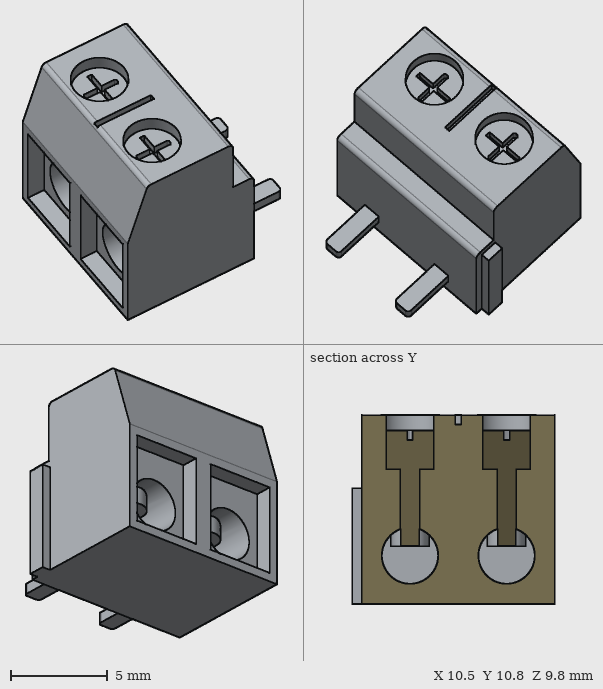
import cadquery as cq

width = 10.0
depth = 7.8
height = 9.8
front_face_height = 6.0
slope_run = 1.23
step_depth = 1.3
step_height = 6.43
edge_radius = 0.3

rib_thickness = 0.5
rib_length = 1.0
rib_setback = 0.41

pole_pitch = 5.0
pole_positions = [width / 2 - pole_pitch / 2, width / 2 + pole_pitch / 2]

window_width = 4.0
window_height = 5.0
window_floor = 0.5
window_depth = 1.0
wire_hole_diameter = 2.9
wire_hole_height = 2.51
wire_hole_depth = 5.0

screw_y = 3.12
head_diameter = 3.0
head_recess = 0.8
head_thickness = 2.0
shank_diameter = 2.0
shank_bottom = 3.0
head_top = height - head_recess
head_bottom = head_top - head_thickness

cross_y = 3.21
cross_depth = 0.5
long_slot_length = 2.18
long_slot_width = 0.27
short_slot_length = 2.03
short_slot_width = 0.3
slot_end_radius = 0.1

groove_width = 0.3
groove_start = 1.27
groove_end = 4.76
groove_depth = 0.5

pin_length = 3.0
pin_width = 1.0
pin_thickness = 0.6
pin_bottom = 0.98
pin_corner_radius = 0.2


def box(x_min, y_min, z_min, x_size, y_size, z_size):
    """Box placed by its lowest corner."""
    return cq.Workplane("XY").box(x_size, y_size, z_size, centered=False).translate((x_min, y_min, z_min))


def cylinder(x, y, z_min, z_max, diameter):
    """Upright cylinder between two heights."""
    return cq.Workplane("XY", origin=(x, y, z_min)).circle(diameter / 2).extrude(z_max - z_min)


def make_block():
    """Stepped and sloped profile in YZ, run along X, with its three upper edges rounded."""
    step_y = depth - step_depth
    profile = [
        (0, 0),
        (depth, 0),
        (depth, step_height),
        (step_y, step_height),
        (step_y, height),
        (slope_run, height),
        (0, front_face_height),
    ]
    block = cq.Workplane("YZ").polyline(profile).close().extrude(width)
    rounded_edges = [(depth, step_height), (step_y, height), (slope_run, height)]
    for y, z in rounded_edges:
        block = block.edges(cq.selectors.NearestToPointSelector((width / 2, y, z))).fillet(edge_radius)
    return block


def make_rib():
    """Key rib standing out of the -X side."""
    rib_y = depth - rib_setback - rib_length
    return box(-rib_thickness, rib_y, 0, rib_thickness, rib_length, front_face_height)


def make_wire_entry(x):
    """Rectangular window with a round blind hole behind it."""
    window = box(x - window_width / 2, 0, window_floor, window_width, window_depth, window_height)
    hole = (
        cq.Workplane("XZ", origin=(x, 0, wire_hole_height))
        .circle(wire_hole_diameter / 2)
        .extrude(-wire_hole_depth)
    )
    return window.union(hole)


def make_screw_bore(x):
    """Stepped bore that holds the screw and leaves its head recessed."""
    head_bore = cylinder(x, screw_y, head_bottom, height, head_diameter)
    shank_bore = cylinder(x, screw_y, shank_bottom, head_bottom, shank_diameter)
    return head_bore.union(shank_bore)


def make_housing():
    housing = make_block().union(make_rib())
    for x in pole_positions:
        housing = housing.cut(make_wire_entry(x)).cut(make_screw_bore(x))
    groove = box(
        width / 2 - groove_width / 2,
        groove_start,
        height - groove_depth,
        groove_width,
        groove_end - groove_start,
        groove_depth,
    )
    return housing.cut(groove)


def make_slot(x, x_size, y_size):
    """Straight-sided cutter for one arm of the cross, sunk into the top of a screw head."""
    floor = head_top - cross_depth
    return cq.Workplane("XY", origin=(x, cross_y, floor)).rect(x_size, y_size).extrude(cross_depth)


def make_long_slot(x):
    """Slot along X with square corners and a floor that rounds up at each end."""
    slot = make_slot(x, long_slot_length, long_slot_width)
    return slot.faces("<Z").edges("|Y").fillet(slot_end_radius)


def make_short_slot(x):
    """Slot along Y with rounded corners."""
    slot = make_slot(x, short_slot_width, short_slot_length)
    return slot.edges("|Z").fillet(slot_end_radius)


def make_screw(x):
    """Cross-slotted head on a plain shank."""
    head = cylinder(x, screw_y, head_bottom, head_top, head_diameter)
    shank = cylinder(x, screw_y, shank_bottom, head_bottom, shank_diameter)
    return head.union(shank).cut(make_long_slot(x)).cut(make_short_slot(x))


def make_pin(x):
    """Flat contact pin on the pin-side face, with its two free corners rounded."""
    pin = box(x - pin_width / 2, depth, pin_bottom, pin_width, pin_length, pin_thickness)
    return pin.faces(">Y").edges("|Z").fillet(pin_corner_radius)


housing = make_housing()
screws = [make_screw(x) for x in pole_positions]
pins = [make_pin(x) for x in pole_positions]

result = cq.Compound.makeCompound([body.val() for body in [housing, *screws, *pins]])